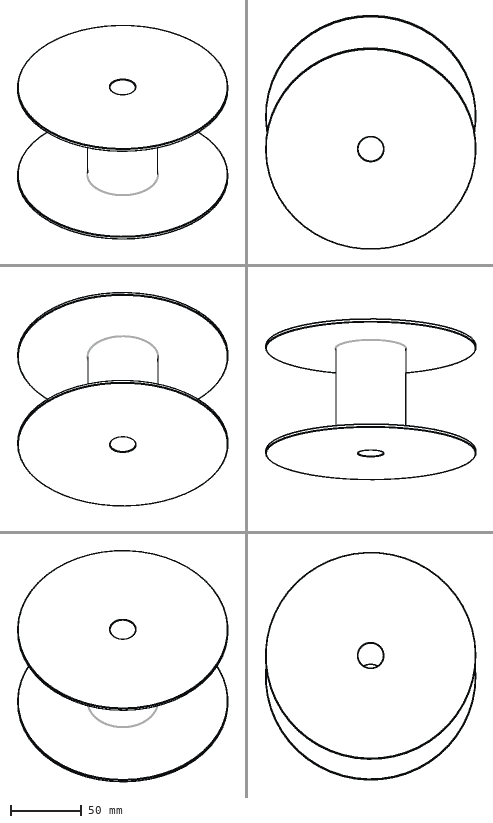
import cadquery as cq

flange_diameter = 150.0
hub_diameter = 50.0
bore_diameter = 18.0
total_height = 80.0
flange_thickness = 2.5
edge_break = 0.5

mid_height = total_height / 2
inner_face_z = mid_height - flange_thickness
flange_radius = flange_diameter / 2
hub_radius = hub_diameter / 2
bore_radius = bore_diameter / 2


def make_flange(base_z):
    """Thin disc with both rim edges chamfered."""
    disc = cq.Workplane("XY", origin=(0, 0, base_z)).circle(flange_radius).extrude(flange_thickness)
    return disc.edges().chamfer(edge_break)


def make_hub():
    """Solid core between the flanges, flaring into each with a fillet."""
    flare_radius = hub_radius + edge_break
    fillet_end_z = inner_face_z - edge_break
    profile = (
        cq.Workplane("XZ")
        .moveTo(0, -inner_face_z)
        .lineTo(flare_radius, -inner_face_z)
        .radiusArc((hub_radius, -fillet_end_z), edge_break)
        .lineTo(hub_radius, fillet_end_z)
        .radiusArc((flare_radius, inner_face_z), edge_break)
        .lineTo(0, inner_face_z)
        .close()
    )
    return profile.revolve(360, (0, 0, 0), (0, 1, 0))


def make_bore():
    """Through bore, widened by a chamfer at each mouth."""
    mouth_radius = bore_radius + edge_break
    straight_end_z = mid_height - edge_break
    profile = (
        cq.Workplane("XZ")
        .moveTo(0, -mid_height)
        .lineTo(mouth_radius, -mid_height)
        .lineTo(bore_radius, -straight_end_z)
        .lineTo(bore_radius, straight_end_z)
        .lineTo(mouth_radius, mid_height)
        .lineTo(0, mid_height)
        .close()
    )
    return profile.revolve(360, (0, 0, 0), (0, 1, 0))


lower_flange = make_flange(-mid_height)
upper_flange = make_flange(inner_face_z)
result = make_hub().union(lower_flange).union(upper_flange).cut(make_bore())